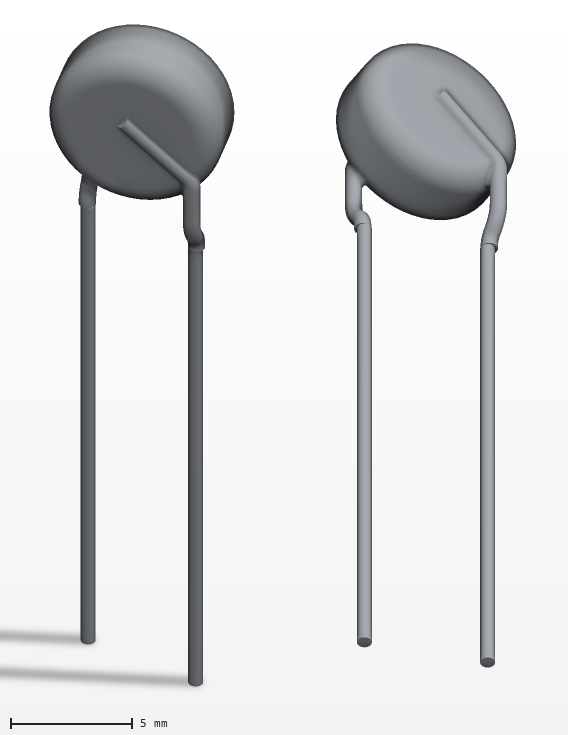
import cadquery as cq
import math

total_height = 32.4
total_depth = 3.8

disc_diameter = 7.4
disc_thickness = 3.45
disc_rounding = 0.97
disc_center_z = total_height - disc_diameter / 2

bare_diameter = 0.6
coated_diameter = 0.7
bare_spacing_x = 5.0
bare_spacing_y = 1.5
coated_end_z = 22.8

flush_offset = (coated_diameter - bare_diameter) / 2
bare_x = bare_spacing_x / 2
bare_y = -bare_spacing_y / 2
coated_x = bare_x + flush_offset
coated_low_y = bare_y - flush_offset
coated_high_y = -(total_depth - coated_diameter) / 2

s_bend_angle = math.radians(45)
s_bend_bottom_z = 22.95
s_bend_low_radius = 0.9
s_bend_shift = coated_low_y - coated_high_y
s_bend_high_radius = s_bend_shift / (1 - math.cos(s_bend_angle)) - s_bend_low_radius

slant_bend_z = 26.55
slant_bend_radius = 0.75
slant_bend_angle = math.radians(49)
slant_length = 3.4

coating_fillet = 0.15

contact_samples = (0.2, 0.5, 0.8)
contact_tolerance = 0.0003


def make_disc():
    """Disc with both rims rounded, standing upright and centred on the Y = 0 plane."""
    rear_face = cq.Workplane("XZ", origin=(0, disc_thickness / 2, disc_center_z))
    disc = rear_face.circle(disc_diameter / 2).extrude(disc_thickness)
    return disc.edges("%CIRCLE").fillet(disc_rounding)


def coated_path():
    """Centre line of the coated wire, from its lower end to the end on the disc face."""

    def in_yz(y, z):
        return cq.Vector(coated_x, y, z)

    def in_xz(x, z):
        return cq.Vector(x, coated_high_y, z)

    def low_bend(angle):
        return in_yz(
            coated_low_y - s_bend_low_radius * (1 - math.cos(angle)),
            s_bend_bottom_z + s_bend_low_radius * math.sin(angle),
        )

    s_bend_top_z = s_bend_bottom_z + (s_bend_low_radius + s_bend_high_radius) * math.sin(s_bend_angle)

    def high_bend(angle):
        return in_yz(
            coated_high_y + s_bend_high_radius * (1 - math.cos(angle)),
            s_bend_top_z - s_bend_high_radius * math.sin(angle),
        )

    def slant_bend(angle):
        return in_xz(
            coated_x - slant_bend_radius * (1 - math.cos(angle)),
            slant_bend_z + slant_bend_radius * math.sin(angle),
        )

    slant_start = slant_bend(slant_bend_angle)
    slant_direction = cq.Vector(-math.sin(slant_bend_angle), 0, math.cos(slant_bend_angle))
    edges = [
        cq.Edge.makeLine(in_yz(coated_low_y, coated_end_z), low_bend(0)),
        cq.Edge.makeThreePointArc(low_bend(0), low_bend(s_bend_angle / 2), low_bend(s_bend_angle)),
        cq.Edge.makeThreePointArc(high_bend(s_bend_angle), high_bend(s_bend_angle / 2), high_bend(0)),
        cq.Edge.makeLine(high_bend(0), slant_bend(0)),
        cq.Edge.makeThreePointArc(slant_bend(0), slant_bend(slant_bend_angle / 2), slant_start),
        cq.Edge.makeLine(slant_start, slant_start + slant_direction * slant_length),
    ]
    return cq.Wire.assembleEdges(edges)


def make_coated_wire():
    """Thick upper part of the front lead."""
    profile = cq.Workplane("XY", origin=(coated_x, coated_low_y, coated_end_z)).circle(coated_diameter / 2)
    return profile.sweep(cq.Workplane(coated_path()))


def make_bare_wire():
    """Thin straight lower part of the front lead, up to the coated end."""
    return cq.Workplane("XY").center(bare_x, bare_y).circle(bare_diameter / 2).extrude(coated_end_z)


def turned_about_z(shape):
    """The same shape for the rear lead, half a turn about the part's vertical axis."""
    return shape.rotate((0, 0, 0), (0, 0, 1), 180)


def touches(edge, shape):
    """True when the edge lies on the surface of the shape along its whole length."""
    surface = shape.solids().val().Shells()[0]
    samples = [cq.Vertex.makeVertex(*edge.positionAt(t).toTuple()) for t in contact_samples]
    return all(sample.distance(surface) < contact_tolerance for sample in samples)


def attach_wire(body, disc, wire):
    """Join one coated wire to the body and fillet the seam between wire and disc."""
    joined = body.union(wire)
    seam = [edge for edge in joined.edges().vals() if touches(edge, disc) and touches(edge, wire)]
    return joined.newObject(seam).fillet(coating_fillet)


disc = make_disc()
front_coated_wire = make_coated_wire()
rear_coated_wire = turned_about_z(front_coated_wire)
front_bare_wire = make_bare_wire()

result = attach_wire(disc, disc, front_coated_wire)
result = attach_wire(result, disc, rear_coated_wire)
result = result.union(front_bare_wire).union(turned_about_z(front_bare_wire))